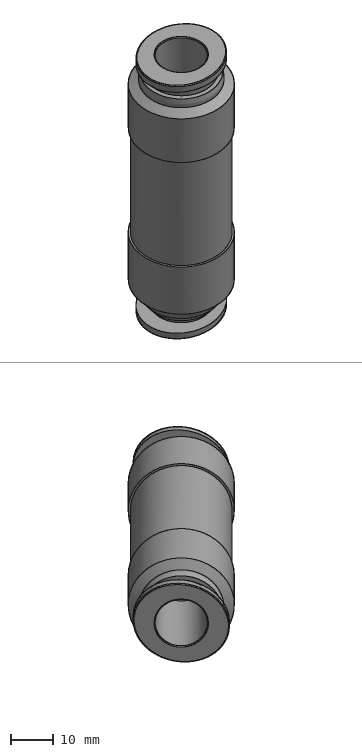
import cadquery as cq

length = 79.9
sleeve_radius = 12.505
barrel_radius = 12.0

top_sleeve_depth = 22.9
bottom_sleeve_depth = 24.05
shoulder_depth = 9.2
shoulder_start_depth = 7.8

guide_radius = 10.1
guide_tip_radius = 9.75
guide_taper_depth = 6.8
guide_depth = 5.35
collar_radius = 8.6
collar_depth = 3.7

neck_radius = 7.4
flange_half_x = 10.3
flange_half_y = 11.5
flange_thickness = 2.0
edge_chamfer = 0.2

socket_radius = 6.15
socket_depth = top_sleeve_depth


def make_body():
    """Revolve the stepped barrel, without the release buttons."""
    profile = [
        (0, collar_depth),
        (collar_radius, collar_depth),
        (collar_radius, guide_depth),
        (guide_tip_radius, guide_depth),
        (guide_radius, guide_taper_depth),
        (guide_radius, shoulder_start_depth),
        (sleeve_radius, shoulder_depth),
        (sleeve_radius, bottom_sleeve_depth),
        (barrel_radius, bottom_sleeve_depth),
        (barrel_radius, length - top_sleeve_depth),
        (sleeve_radius, length - top_sleeve_depth),
        (sleeve_radius, length - shoulder_depth),
        (guide_radius, length - shoulder_start_depth),
        (guide_radius, length - guide_taper_depth),
        (guide_tip_radius, length - guide_depth),
        (collar_radius, length - guide_depth),
        (collar_radius, length - collar_depth),
        (0, length - collar_depth),
    ]
    return cq.Workplane("XZ").polyline(profile).close().revolve(360, (0, 0), (0, 1))


def make_button():
    """Build the bottom release button: chamfered oval flange plus neck."""
    flange = (
        cq.Workplane("XY")
        .ellipse(flange_half_x, flange_half_y)
        .extrude(flange_thickness)
        .faces("<Z")
        .chamfer(edge_chamfer)
    )
    neck = cq.Workplane("XY").circle(neck_radius).extrude(collar_depth)
    return flange.union(neck)


def make_socket():
    """Build the cutter for the bottom socket, with a chamfered mouth."""
    profile = [
        (0, 0),
        (socket_radius + edge_chamfer, 0),
        (socket_radius, edge_chamfer),
        (socket_radius, socket_depth),
        (0, socket_depth),
    ]
    return cq.Workplane("XZ").polyline(profile).close().revolve(360, (0, 0), (0, 1))


def at_top(shape):
    """Mirror a bottom-end shape to the top end."""
    return shape.mirror("XY", (0, 0, length / 2))


button = make_button()
socket = make_socket()
result = make_body().union(button).union(at_top(button))
result = result.cut(socket).cut(at_top(socket))